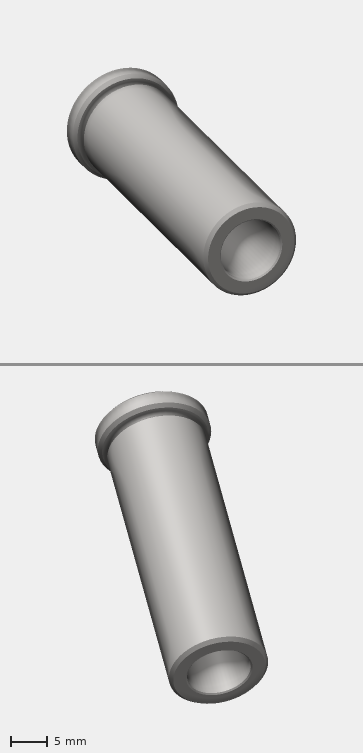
import cadquery as cq

length = 45.0
body_radius = 14.0 / 2
bore_radius = 9.0 / 2

head_radius = 16.0 / 2
head_thickness = 3.0
edge_chamfer = 0.5
bore_chamfer = 0.2

groove_radius = 0.5

head_face = -length / 2
head_shoulder = head_face + head_thickness
groove_center = head_shoulder + groove_radius
groove_end = head_shoulder + 2 * groove_radius
tip_face = length / 2


def make_bush():
    """Revolve the section of the bush wall about the X axis."""
    outline = (
        cq.Workplane("XY")
        .moveTo(head_face, bore_radius + bore_chamfer)
        .lineTo(head_face, head_radius - edge_chamfer)
        .lineTo(head_face + edge_chamfer, head_radius)
        .lineTo(head_shoulder - edge_chamfer, head_radius)
        .lineTo(head_shoulder, head_radius - edge_chamfer)
        .lineTo(head_shoulder, body_radius)
        .threePointArc((groove_center, body_radius - groove_radius), (groove_end, body_radius))
        .lineTo(tip_face - edge_chamfer, body_radius)
        .lineTo(tip_face, body_radius - edge_chamfer)
        .lineTo(tip_face, bore_radius + bore_chamfer)
        .lineTo(tip_face - bore_chamfer, bore_radius)
        .lineTo(head_face + bore_chamfer, bore_radius)
        .close()
    )
    return outline.revolve(360, (0, 0, 0), (1, 0, 0))


result = make_bush()